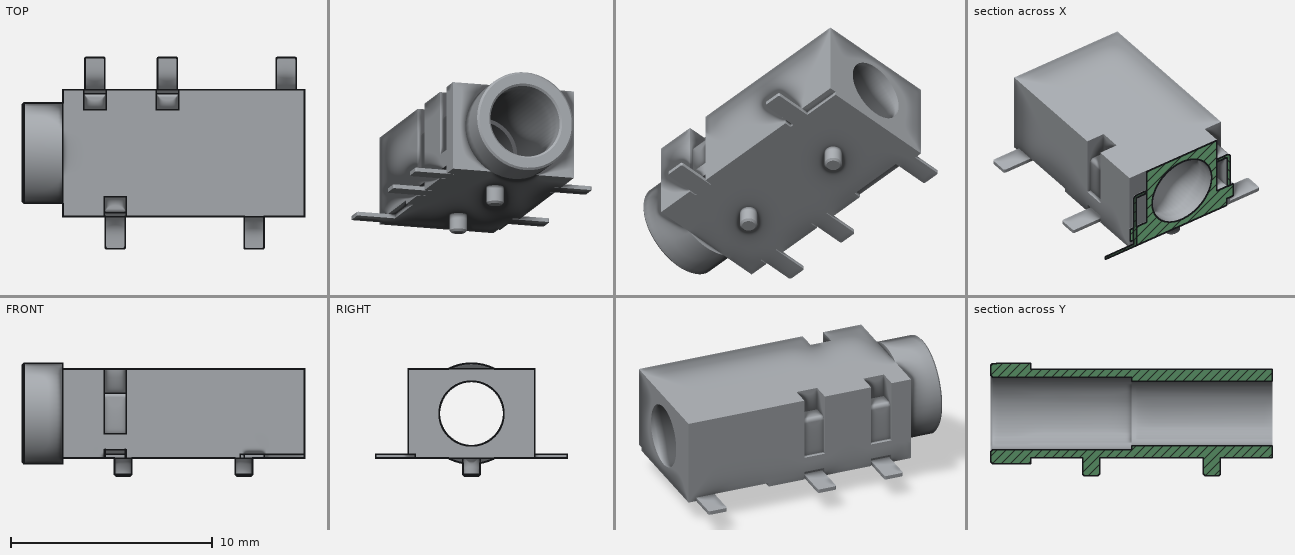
import cadquery as cq

TOTAL_LENGTH = 14.0
TOTAL_WIDTH = 9.5
TOTAL_HEIGHT = 5.6
SLEEVE_LENGTH = 2.0
SLEEVE_DIAMETER = 5.0
BLOCK_LENGTH = TOTAL_LENGTH - SLEEVE_LENGTH
BLOCK_WIDTH = 6.3
BLOCK_HEIGHT = 4.42
AXIS_HEIGHT = BLOCK_HEIGHT / 2
EDGE_CHAMFER = 0.1

PLUG_BORE_DIAMETER = 3.6
PLUG_BORE_DEPTH = TOTAL_LENGTH / 2
REAR_BORE_DIAMETER = 3.19

PEG_DIAMETER = 0.87
PEG_TIP = AXIS_HEIGHT + SLEEVE_DIAMETER / 2 - TOTAL_HEIGHT
PEG_CENTERS_X = (5.0, 10.99)

SHEET = 0.2
TAIL_WIDTH = 1.0
TAIL_REACH = (TOTAL_WIDTH - BLOCK_WIDTH) / 2
TAIL_CORNER_RADIUS = 0.1
CONTACT_INSET = 0.2
CONTACT_TOP = 3.22
BEND_RADIUS = 0.2

WINDOW_WIDTH = 1.1
WINDOW_DEPTH = 1.0
WINDOW_FLOOR = 1.22
FOOT_SLOT_HEIGHT = 0.42
FOOT_SLOT_DEPTH = CONTACT_INSET + SHEET

LEDGE_DEPTH = 0.36
FRONT_LEDGE_START = 10.81
BACK_LEDGE_START = 9.67

CONTACT_TERMINALS = ((4.6, -1), (3.6, 1), (7.2, 1))
FRONT_FLAT_TERMINAL_X = 11.5
BACK_FLAT_TERMINAL_X = 13.09
FLAT_TERMINALS = ((FRONT_FLAT_TERMINAL_X, -1), (BACK_FLAT_TERMINAL_X, 1))


def side_box(x_start, x_end, depth_outer, depth_inner, z_bottom, z_top, side):
    """Box at a side wall; depths are measured inward from the wall face."""
    y_outer = side * (BLOCK_WIDTH / 2 - depth_outer)
    y_inner = side * (BLOCK_WIDTH / 2 - depth_inner)
    return (
        cq.Workplane("XY", origin=((x_start + x_end) / 2, (y_outer + y_inner) / 2, z_bottom))
        .rect(x_end - x_start, abs(y_outer - y_inner))
        .extrude(z_top - z_bottom)
    )


def centered_side_box(x_center, width, depth_outer, depth_inner, z_bottom, z_top, side):
    """Side box placed by its middle and width along X."""
    x_start = x_center - width / 2
    return side_box(x_start, x_start + width, depth_outer, depth_inner, z_bottom, z_top, side)


def outer_face(side):
    """Selector of the face that points away from the block."""
    return ">Y" if side > 0 else "<Y"


def make_tail(x_center, inner_depth, side):
    """Flat solder tail from inner_depth inside the wall to its rounded outer corners."""
    tail = centered_side_box(x_center, TAIL_WIDTH, -TAIL_REACH, inner_depth, 0, SHEET, side)
    return tail.faces(outer_face(side)).edges("|Z").fillet(TAIL_CORNER_RADIUS)


def make_contact_terminal(x_center, side):
    """Tail, upright leg and a wider contact head that bends inward in its window."""
    tail = make_tail(x_center, FOOT_SLOT_DEPTH, side)
    leg = centered_side_box(
        x_center, TAIL_WIDTH, CONTACT_INSET, FOOT_SLOT_DEPTH, 0, WINDOW_FLOOR, side
    )
    head = centered_side_box(
        x_center, WINDOW_WIDTH, CONTACT_INSET, WINDOW_DEPTH, WINDOW_FLOOR, CONTACT_TOP, side
    )
    under_head = centered_side_box(
        x_center, WINDOW_WIDTH, CONTACT_INSET + SHEET, WINDOW_DEPTH,
        WINDOW_FLOOR, CONTACT_TOP - SHEET, side
    )
    head = head.faces(outer_face(side)).edges(">Z").fillet(BEND_RADIUS).cut(under_head)
    return tail.union(leg).union(head)


def make_flat_terminal(x_center, side):
    """Straight terminal that ends at the inner wall of its ledge."""
    return make_tail(x_center, LEDGE_DEPTH, side)


def make_block_and_sleeve():
    """Rectangular block with the chamfered round sleeve on its -X end."""
    block = (
        cq.Workplane("XY", origin=(SLEEVE_LENGTH + BLOCK_LENGTH / 2, 0, 0))
        .rect(BLOCK_LENGTH, BLOCK_WIDTH)
        .extrude(BLOCK_HEIGHT)
    )
    sleeve = (
        cq.Workplane("YZ", origin=(0, 0, AXIS_HEIGHT))
        .circle(SLEEVE_DIAMETER / 2)
        .extrude(SLEEVE_LENGTH)
        .faces("<X").chamfer(EDGE_CHAMFER)
    )
    return block.union(sleeve)


def make_bore():
    """Cutter for the stepped through bore with a chamfered mouth."""
    plug_radius = PLUG_BORE_DIAMETER / 2
    rear_radius = REAR_BORE_DIAMETER / 2
    half_profile = [
        (0, 0),
        (0, plug_radius + EDGE_CHAMFER),
        (EDGE_CHAMFER, plug_radius),
        (PLUG_BORE_DEPTH, plug_radius),
        (PLUG_BORE_DEPTH, rear_radius),
        (TOTAL_LENGTH, rear_radius),
        (TOTAL_LENGTH, 0),
    ]
    return (
        cq.Workplane("XZ", origin=(0, 0, AXIS_HEIGHT))
        .polyline(half_profile).close()
        .revolve(360, (0, 0), (1, 0))
    )


def make_peg(x_center):
    """Round locating peg with a chamfered tip."""
    return (
        cq.Workplane("XY", origin=(x_center, 0, PEG_TIP))
        .circle(PEG_DIAMETER / 2)
        .extrude(-PEG_TIP)
        .faces("<Z").chamfer(EDGE_CHAMFER)
    )


def make_housing(upright_terminals):
    """Housing with bore, pegs, windows, foot slots and ledges, fitted around the terminals."""
    housing = make_block_and_sleeve().cut(make_bore())
    for x_center in PEG_CENTERS_X:
        housing = housing.union(make_peg(x_center))

    for x_center, side in CONTACT_TERMINALS:
        window = centered_side_box(
            x_center, WINDOW_WIDTH, 0, WINDOW_DEPTH, WINDOW_FLOOR, BLOCK_HEIGHT, side
        )
        foot_slot = centered_side_box(
            x_center, WINDOW_WIDTH, 0, FOOT_SLOT_DEPTH, 0, FOOT_SLOT_HEIGHT, side
        )
        housing = housing.cut(window).cut(foot_slot)

    back_ledge_end = BACK_FLAT_TERMINAL_X + TAIL_WIDTH / 2
    front_ledge = side_box(FRONT_LEDGE_START, TOTAL_LENGTH, 0, LEDGE_DEPTH, 0, SHEET, -1)
    back_ledge = side_box(BACK_LEDGE_START, back_ledge_end, 0, LEDGE_DEPTH, 0, SHEET, 1)
    housing = housing.cut(front_ledge).cut(back_ledge)

    for terminal in upright_terminals:
        housing = housing.cut(terminal)
    return housing


contact_terminals = [make_contact_terminal(x, side) for x, side in CONTACT_TERMINALS]
flat_terminals = [make_flat_terminal(x, side) for x, side in FLAT_TERMINALS]
housing = make_housing(contact_terminals)

result = cq.Compound.makeCompound(
    [housing.val()] + [terminal.val() for terminal in contact_terminals + flat_terminals]
)